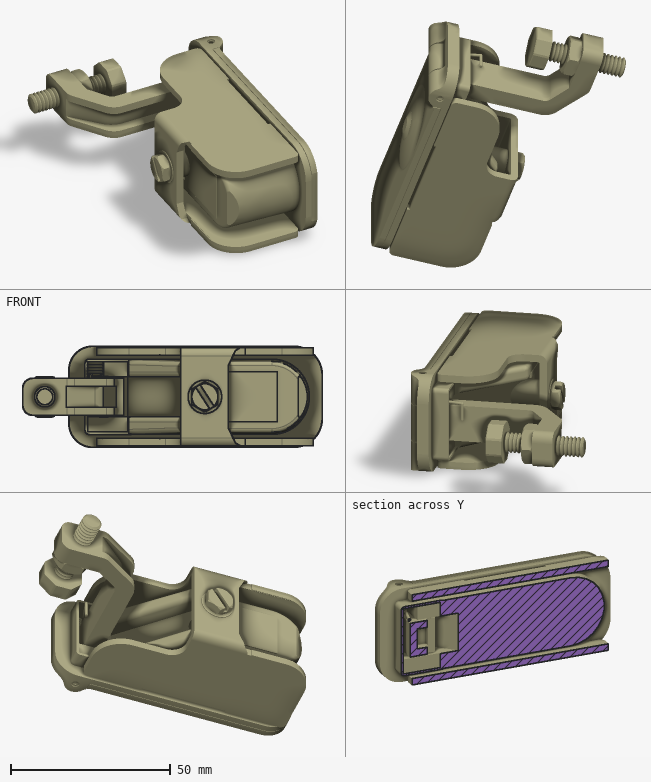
import cadquery as cq
import math


flange_left = 14.5
flange_right = 94.0
flange_height = 31.8
flange_left_radius = 7.6
flange_right_radius = 9.1
knuckle_shoulder = 3.8
base_thickness = 2.1
flange_thickness = 4.2
cover_plate_left = 26.7
cover_plate_setback = 0.3
seam_width = 0.2
seam_depth = 0.5

hinge_x = 22.7
hinge_y = 3.8
knuckle_radius = 3.7
knuckle_blend = 3.3
pin_diameter = 2.5
pin_bore = 1.6
pin_setback = 0.4

dome_x = 50.75
dome_radius = 13.7
dome_rise = 1.8
button_radius = 4.7
button_flat_radius = 2.4
button_top = 6.6
button_shoulder = 5.8

cup_half_width = 11.8
cup_depth = 24.0
cup_root = 0.9
cup_draft = 1.8
cup_arc_x = 78.1
cup_edge_radius = 1.2
cup_end_flat_x = 86.4
cup_end_flat_depth = 4.7
rail_line = 26.8
channel_line = 34.5
channel_half = 6.3
rail_left = 33.3
rail_edge_radius = 1.5
panel_half = 7.9
panel_left = 54.0
panel_right = 79.9
panel_height = 0.3

block_left = 19.55
block_half = 11.8
block_depth = 5.2
block_radius = 1.4
rim = 0.8
recess_depth = 0.75
pocket_right = 33.0
through_gap_left = 24.1

wire = 0.9
coil_count = 5
coil_outer_radius = 2.5
coil_clearance = 0.2
spring_pocket_right = 25.4
leg_z = 7.0
leg_tip = (21.3, -9.2)
leg_root = (24.15, 1.6)
leg_end_z = 1.7

arm_width = 11.7
arm_thickness = 5.9
foot_top = -36.3
foot_bottom = -42.9
foot_bend_x = 15.1
foot_bend_radius = 4.0
foot_corner_radius = 3.2
arm_inner_bend_y = -31.4
arm_outer_bend_y = -33.8
arm_inner_radius = 2.35
arm_outer_radius = 5.6
head_right = 31.8
head_bottom = -3.8
head_top = 1.9
groove_half = 3.3
groove_floor_x = 25.3
groove_bend_y = -32.4
groove_bend_radius = 8.0
groove_foot_x = 13.7
groove_head_right = 29.4
groove_head_top = -1.9

bolt_x = 7.0
bolt_tip = -51.6
bolt_head_top = -21.1
bolt_head_bottom = -26.3
bolt_head_flats = 12.7
bolt_head_sides = 8
bolt_corner_chamfer = 0.4
bolt_top_chamfer = 0.3
thread_radius = 3.2
thread_root_diameter = 5.0
thread_root_radius = thread_root_diameter / 2
thread_turns = 20
thread_crest = 0.3
thread_pitch = (bolt_head_bottom - bolt_tip) / thread_turns
nut_top = -32.4
nut_corners = 13.0
hex_chamfer = 0.7

bracket_left = 23.3
bracket_right = 91.2
bracket_top = -0.6
bracket_web_y = -30.3
bracket_half = 15.4
bracket_thickness = 2.35
bracket_bend_radius = 2.5
bracket_inner_radius = 0.5
bracket_round = 10.0
bracket_top_round = 1.7
bracket_step_y = -18.6
bracket_step_round = 4.8
web_left = 49.5
web_right = 64.5
web_corner_z = 9.8
web_flare = (66.7, 14.5)
web_flare_top = 68.2
web_flare_end = 69.7
flange_edge_y = -28.0
notch_left = 43.0
notch_right = 71.1
notch_depth = 0.8

screw_x = 57.1
boss_diameter = 9.5
washer_diameter = 10.5
washer_thickness = 0.3
screw_head_corners = 9.5
screw_head_height = 3.1
screw_head_turn = 30
slot_width = 1.6
slot_depth = 2.1
slot_angle = -57


def box(x0, x1, y0, y1, z0, z1):
    return cq.Workplane("XY").box(x1 - x0, y1 - y0, z1 - z0, centered=False).translate((x0, y0, z0))


def front_plane(y):
    """Sketch plane facing -Y: local axes are X and Z, extrusion goes towards -Y."""
    return cq.Workplane("XZ", origin=(0, y, 0))


def along_z(half):
    """Sketch plane in X and Y at the lower end of a symmetric prism along Z."""
    return cq.Workplane("XY", origin=(0, 0, -half))


def rod_z(x, y, radius, half):
    return along_z(half).center(x, y).circle(radius).extrude(2 * half)


def edge_at(x, y, z=0):
    """Selector for the edge whose centre is nearest to the point."""
    return cq.selectors.NearestToPointSelector((x, y, z))


def flange_prism(shrink, y_front, y_back):
    """Rounded flange outline, shrunk inwards all round, between two Y levels."""
    width = flange_right - flange_left - 2 * shrink
    height = flange_height - 2 * shrink
    prism = (
        front_plane(y_back)
        .center((flange_left + flange_right) / 2, 0)
        .rect(width, height)
        .extrude(y_back - y_front)
    )
    prism = prism.edges("|Y and <X").fillet(flange_left_radius - shrink)
    return prism.edges("|Y and >X").fillet(flange_right_radius - shrink)


def blend(level, side):
    """Arc blending a flat at the given level into the knuckle: flat end, middle and knuckle end."""
    rise = level + knuckle_blend - hinge_y
    reach = knuckle_radius + knuckle_blend
    run = math.sqrt(reach ** 2 - rise ** 2)
    centre = (hinge_x + side * run, level + knuckle_blend)
    flat_end = (centre[0], level)
    share = knuckle_radius / reach
    knuckle_end = (hinge_x + side * run * share, hinge_y + rise * share)
    middle_x = (flat_end[0] + knuckle_end[0]) / 2 - centre[0]
    middle_y = (flat_end[1] + knuckle_end[1]) / 2 - centre[1]
    stretch = knuckle_blend / math.hypot(middle_x, middle_y)
    middle = (centre[0] + middle_x * stretch, centre[1] + middle_y * stretch)
    return flat_end, middle, knuckle_end


def make_flange():
    left_flat, left_middle, left_knuckle = blend(knuckle_shoulder, -1)
    right_flat, right_middle, right_knuckle = blend(flange_thickness, 1)
    cover_right = flange_right - cover_plate_setback
    side = (
        along_z(flange_height)
        .moveTo(flange_left, 0)
        .lineTo(flange_left, knuckle_shoulder)
        .lineTo(*left_flat)
        .threePointArc(left_middle, left_knuckle)
        .threePointArc((hinge_x, hinge_y + knuckle_radius), right_knuckle)
        .threePointArc(right_middle, right_flat)
        .lineTo(cover_right, flange_thickness)
        .lineTo(cover_right, base_thickness)
        .lineTo(flange_right, base_thickness)
        .lineTo(flange_right, 0)
        .close()
        .extrude(2 * flange_height)
    )
    top = hinge_y + knuckle_radius
    half = flange_height / 2
    seam_core = flange_prism(seam_depth, 0, top)
    seam = box(cover_plate_left, flange_right, base_thickness, base_thickness + seam_width, -half, half)
    seam = seam.union(
        box(cover_plate_left, cover_plate_left + seam_width, base_thickness, top, -half, half)
    )
    return flange_prism(0, 0, top).intersect(side).cut(seam.cut(seam_core))


def make_dome():
    sphere_radius = (dome_radius ** 2 + dome_rise ** 2) / (2 * dome_rise)
    mid_radius = dome_radius / 2
    apex = flange_thickness + dome_rise
    mid_y = apex - sphere_radius + math.sqrt(sphere_radius ** 2 - mid_radius ** 2)
    dome = (
        cq.Workplane("XY")
        .moveTo(0, 0)
        .lineTo(dome_radius, 0)
        .lineTo(dome_radius, flange_thickness)
        .threePointArc((mid_radius, mid_y), (0, apex))
        .close()
        .revolve(360, (0, 0, 0), (0, 1, 0))
    )
    button = (
        cq.Workplane("XY")
        .polyline([(0, base_thickness), (button_radius, base_thickness), (button_radius, button_shoulder),
                   (button_flat_radius, button_top), (0, button_top)])
        .close()
        .revolve(360, (0, 0, 0), (0, 1, 0))
    )
    solid_back = box(-dome_radius, dome_radius, base_thickness + seam_width, button_top,
                     -dome_radius, dome_radius)
    return dome.union(button).intersect(solid_back).translate((dome_x, 0, 0))


def slope_cutter(line, half):
    """Everything on the low side of the plane x + y = line, within the given half width."""
    top = 2 * cup_root
    bottom = -2 * cup_depth
    return (
        along_z(half)
        .polyline([(line - top, top), (line - bottom, bottom), (0, bottom), (0, top)])
        .close()
        .extrude(2 * half)
    )


def make_cup():
    cup = (
        front_plane(cup_root)
        .moveTo(block_left, -cup_half_width)
        .lineTo(cup_arc_x, -cup_half_width)
        .threePointArc((cup_arc_x + cup_half_width, 0), (cup_arc_x, cup_half_width))
        .lineTo(block_left, cup_half_width)
        .close()
        .extrude(cup_root + cup_depth, taper=cup_draft)
        .faces("<Y")
        .edges()
        .fillet(cup_edge_radius)
    )
    end_flat = (
        along_z(cup_half_width)
        .polyline([
            (cup_end_flat_x, -cup_depth),
            (cup_end_flat_x + cup_end_flat_depth, cup_end_flat_depth - cup_depth),
            (cup_end_flat_x + cup_end_flat_depth, -cup_depth),
        ])
        .close()
        .extrude(2 * cup_half_width)
    )
    panel_back = panel_height - cup_depth
    panel_front = -panel_height - cup_depth
    panel = box(panel_left, panel_right, panel_front, panel_back, -panel_half, panel_half)
    panel = panel.cut(slope_cutter(channel_line, channel_half))
    cup = cup.cut(end_flat)
    cup = cup.cut(slope_cutter(rail_line, cup_half_width))
    cup = cup.cut(slope_cutter(channel_line, channel_half))
    middle_y = -cup_depth / 2
    for z in (-cup_half_width, -channel_half, channel_half, cup_half_width):
        cup = cup.edges(edge_at(rail_line - middle_y, middle_y, z)).fillet(rail_edge_radius)
    ahead = box(block_left, rail_left, -cup_depth, 2 * cup_root, -cup_half_width, cup_half_width)
    return cup.cut(ahead).union(panel)


def make_rim_block():
    block = box(block_left, pocket_right + rim, -block_depth, 0, -block_half, block_half)
    block = block.edges("|Y and <X").fillet(block_radius)
    inner = block_half - rim
    recess = box(block_left + rim, pocket_right, -block_depth, recess_depth - block_depth, -inner, inner)
    return block.cut(recess)


def cut_hinge_pocket(body):
    top = hinge_y + knuckle_radius
    wall = block_left + rim
    half = channel_half
    inner = block_half - rim
    pocket = box(wall, pocket_right, -block_depth, base_thickness, -half, half)
    pocket = pocket.union(box(through_gap_left, cover_plate_left, -block_depth, top, -half, half))
    pocket = pocket.union(box(flange_left, cover_plate_left, hinge_y, top, -half, half))
    pocket = pocket.union(box(wall, spring_pocket_right, -block_depth, hinge_y, half, inner))
    channel_mouth = box(pocket_right, channel_line, -block_depth, base_thickness, -half, half)
    pocket = pocket.union(channel_mouth.intersect(slope_cutter(channel_line, half)))
    spring_bore = (
        cq.Workplane("XY", origin=(hinge_x, hinge_y, half))
        .circle(coil_outer_radius + coil_clearance)
        .extrude(inner - half)
    )
    pin_hole = rod_z(hinge_x, hinge_y, pin_diameter / 2, flange_height)
    return body.cut(pocket).cut(spring_bore).cut(pin_hole)


def make_arm():
    arm_right = hinge_x + arm_thickness
    half = arm_width / 2
    arm = (
        along_z(half)
        .polyline([(hinge_x, head_top), (hinge_x, arm_inner_bend_y), (foot_bend_x, foot_top), (0, foot_top),
                   (0, foot_bottom), (foot_bend_x, foot_bottom), (arm_right, arm_outer_bend_y),
                   (arm_right, head_top)])
        .close()
        .extrude(arm_width)
    )
    arm = arm.edges(edge_at(hinge_x, arm_inner_bend_y)).fillet(arm_inner_radius)
    arm = arm.edges(edge_at(arm_right, arm_outer_bend_y)).fillet(arm_outer_radius)
    arm = arm.edges(edge_at(foot_bend_x, foot_bottom)).fillet(foot_bend_radius)
    arm = arm.edges("|Y and <X").fillet(foot_corner_radius)
    head = box(hinge_x, head_right, head_bottom, head_top, -half, half)
    knuckle = rod_z(hinge_x, hinge_y, knuckle_radius, half)
    groove = (
        along_z(groove_half)
        .polyline([(groove_foot_x, foot_bottom), (groove_floor_x, groove_bend_y),
                   (groove_floor_x, groove_head_top), (groove_head_right, groove_head_top),
                   (groove_head_right, foot_bottom)])
        .close()
        .extrude(2 * groove_half)
        .edges(edge_at(groove_floor_x, groove_bend_y))
        .fillet(groove_bend_radius)
    )
    return arm.union(head).cut(groove).union(knuckle)


def make_pin():
    return rod_z(hinge_x, hinge_y, pin_diameter / 2, flange_height / 2 - pin_setback)


def make_spring():
    inner_end = channel_half
    outer_end = block_half - rim
    core_radius = coil_outer_radius - wire / 2
    coil_pitch = (outer_end - inner_end) / coil_count
    profile = cq.Workplane("XZ").moveTo(0, inner_end).lineTo(core_radius, inner_end)
    for index in range(coil_count):
        start = inner_end + index * coil_pitch
        profile = profile.threePointArc(
            (coil_outer_radius, start + coil_pitch / 2), (core_radius, start + coil_pitch)
        )
    coils = profile.lineTo(0, outer_end).close().revolve(360, (0, 0, 0), (0, 1, 0))
    coils = coils.translate((hinge_x, hinge_y, 0))

    tip_x, tip_y = leg_tip
    root_x, root_y = leg_root
    leg_points = [(root_x, root_y, leg_z), (tip_x, tip_y, leg_z), (tip_x, tip_y, leg_end_z)]
    path = cq.Workplane("XY").polyline(leg_points)
    along_leg = (tip_x - root_x, tip_y - root_y, 0)
    section = cq.Plane(origin=(root_x, root_y, leg_z), xDir=(0, 0, 1), normal=along_leg)
    leg = cq.Workplane(section).circle(wire / 2).sweep(path, transition="round")
    return coils.union(leg)


def chamfered_hexagon(corner_diameter, turn, y_top, y_bottom):
    """Hexagonal prism along Y with its corners turned down to cones at both ends."""
    height = y_top - y_bottom
    prism = front_plane(y_top).transformed(rotate=(0, 0, turn))
    prism = prism.polygon(6, corner_diameter).extrude(height)
    turned = front_plane(y_top).circle(corner_diameter / 2).extrude(height)
    turned = turned.edges().chamfer(hex_chamfer)
    return prism.intersect(turned)


def make_bolt():
    corner_diameter = bolt_head_flats / math.cos(math.pi / bolt_head_sides)
    height = bolt_head_top - bolt_head_bottom
    head = (
        front_plane(bolt_head_top)
        .transformed(rotate=(0, 0, 180 / bolt_head_sides))
        .polygon(bolt_head_sides, corner_diameter)
        .extrude(height)
        .edges("|Y")
        .chamfer(bolt_corner_chamfer)
    )
    head = head.faces(">Y").edges().chamfer(bolt_top_chamfer)
    nut = chamfered_hexagon(nut_corners, 0, nut_top, foot_top)
    shank_top = (bolt_head_top + bolt_head_bottom) / 2
    flank = (thread_pitch - thread_crest) / 2
    profile = [(0, shank_top), (thread_root_radius, shank_top)]
    for index in range(thread_turns):
        start = bolt_head_bottom - index * thread_pitch
        profile.append((thread_root_radius, start))
        profile.append((thread_radius, start - flank))
        profile.append((thread_radius, start - flank - thread_crest))
    profile.append((thread_root_radius, bolt_tip))
    profile.append((0, bolt_tip))
    shank = cq.Workplane("XY").polyline(profile).close().revolve(360, (0, 0, 0), (0, 1, 0))
    return head.union(nut).union(shank).translate((bolt_x, 0, 0))


def make_bracket():
    reach = bracket_half
    inner = reach - bracket_thickness
    channel = box(bracket_left, bracket_right, bracket_web_y, bracket_top, -reach, reach)
    channel = channel.edges("|X and <Y").fillet(bracket_bend_radius)
    inside = box(bracket_left, bracket_right, bracket_web_y + bracket_thickness, bracket_top, -inner, inner)
    channel = channel.cut(inside.edges("|X and <Y").fillet(bracket_inner_radius))

    outline = (
        along_z(reach)
        .polyline([(bracket_left, bracket_top), (bracket_left, bracket_step_y), (web_left, bracket_step_y),
                   (web_left, bracket_web_y), (web_flare_end, bracket_web_y), (web_flare_end, flange_edge_y),
                   (bracket_right, flange_edge_y), (bracket_right, bracket_top), (notch_right, bracket_top),
                   (notch_right, bracket_top - notch_depth), (notch_left, bracket_top - notch_depth),
                   (notch_left, bracket_top)])
        .close()
        .extrude(2 * reach)
    )
    outline = outline.edges(edge_at(bracket_left, bracket_step_y)).fillet(bracket_round)
    outline = outline.edges(edge_at(bracket_right, flange_edge_y)).fillet(bracket_round)
    outline = outline.edges(edge_at(web_left, bracket_step_y)).fillet(bracket_step_round)
    outline = outline.edges(edge_at(bracket_left, bracket_top)).fillet(bracket_top_round)
    outline = outline.edges(edge_at(bracket_right, bracket_top)).fillet(bracket_top_round)

    flare_x, flare_z = web_flare
    web_trim = (
        front_plane(bracket_web_y + bracket_bend_radius)
        .polyline([(web_right, -web_corner_z), (flare_x, -flare_z), (web_flare_top, -reach),
                   (web_flare_end, -reach), (web_flare_end, reach), (web_flare_top, reach),
                   (flare_x, flare_z), (web_right, web_corner_z)])
        .close()
        .extrude(bracket_bend_radius)
    )
    bend_end = bracket_web_y + bracket_bend_radius
    opening = box(web_flare_end, bracket_right, bracket_web_y, bend_end, -inner, inner)
    return channel.intersect(outline).cut(web_trim).cut(opening)


def make_screw():
    washer_y = bracket_web_y - washer_thickness
    boss = front_plane(0).circle(boss_diameter / 2).extrude(-bracket_web_y)
    washer = front_plane(bracket_web_y).circle(washer_diameter / 2).extrude(washer_thickness)
    head = chamfered_hexagon(screw_head_corners, screw_head_turn, washer_y, washer_y - screw_head_height)
    slot = (
        front_plane(washer_y - screw_head_height + slot_depth)
        .transformed(rotate=(0, 0, slot_angle))
        .rect(2 * screw_head_corners, slot_width)
        .extrude(slot_depth)
    )
    return boss.union(washer).union(head.cut(slot)).translate((screw_x, 0, 0))


body = make_flange().union(make_dome()).union(make_cup()).union(make_rim_block())
body = cut_hinge_pocket(body)
body = body.union(make_pin()).union(make_spring()).union(make_arm()).union(make_bolt())
body = body.union(make_bracket()).union(make_screw())
result = body.cut(rod_z(hinge_x, hinge_y, pin_bore / 2, flange_height))